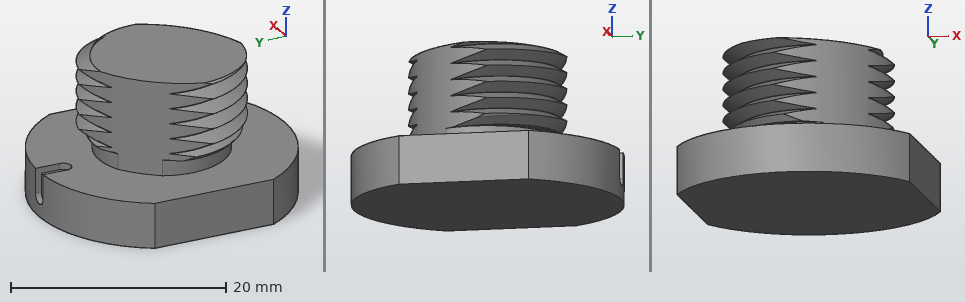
import cadquery as cq
import math

flange_diameter = 25.4
flange_across_flats = 22.23
flange_height = 4.6

total_height = 14.1
neck_diameter = 13.0
neck_height = 1.6
stud_width = 12.62
stud_side_radius = 12.7
stud_side_direction = -45

crest_diameter = 15.95
root_diameter = 13.24
pitch = 1.53
taper_end_diameter = 13.96
crest_height_at_x_axis = 13.11
root_gap = 0.02
spare_turns = 1
core_overlap = 0.015

mark_width = 1.6
mark_length = 3.3
mark_depth = 0.63

thread_bottom = flange_height + neck_height
thread_height = total_height - thread_bottom


def make_flange():
    disc = cq.Workplane("XY").circle(flange_diameter / 2).extrude(flange_height)
    flats = cq.Workplane("XY").box(
        flange_across_flats, flange_diameter, flange_height, centered=(True, True, False)
    )
    return disc.intersect(flats)


def make_thread():
    """Full thread on its core, running past both ends of the threaded length."""
    root_radius = root_diameter / 2
    half_foot = (pitch - root_gap) / 2

    turns_below = math.ceil((crest_height_at_x_axis - thread_bottom) / pitch) + spare_turns
    turns_above = math.ceil((total_height - crest_height_at_x_axis) / pitch) + spare_turns
    turns = turns_below + turns_above
    start_height = crest_height_at_x_axis - turns_below * pitch

    helix = cq.Wire.makeHelix(pitch, turns * pitch, root_radius)
    path = cq.Workplane(helix.translate(cq.Vector(0, 0, start_height)))
    ridge = (
        cq.Workplane("XZ")
        .moveTo(root_radius, start_height - half_foot)
        .lineTo(crest_diameter / 2, start_height)
        .lineTo(root_radius, start_height + half_foot)
        .close()
        .sweep(path, isFrenet=True)
    )
    core = (
        cq.Workplane("XY")
        .workplane(offset=start_height - pitch)
        .circle(root_radius + core_overlap)
        .extrude((turns + 2) * pitch)
    )
    return core.union(ridge)


def make_thread_limits():
    """Threaded length, with a 45 degree cone that tapers its lower end."""
    cone_height = thread_height / 2
    return (
        cq.Workplane("XY")
        .workplane(offset=thread_bottom)
        .circle(taper_end_diameter / 2 + cone_height)
        .extrude(thread_height)
        .faces("<Z")
        .chamfer(cone_height)
    )


def make_side_envelope():
    """Prism shared by two large cylinders, leaving the two bulged sides."""
    offset = stud_side_radius - stud_width / 2
    angle = math.radians(stud_side_direction)
    x = offset * math.cos(angle)
    y = offset * math.sin(angle)
    first = cq.Workplane("XY").center(x, y).circle(stud_side_radius).extrude(total_height)
    second = cq.Workplane("XY").center(-x, -y).circle(stud_side_radius).extrude(total_height)
    return first.intersect(second)


def make_stud():
    envelope = make_side_envelope()
    neck = cq.Workplane("XY").circle(neck_diameter / 2).extrude(thread_bottom).intersect(envelope)
    thread = make_thread().intersect(make_thread_limits().intersect(envelope))
    return neck.union(thread)


def make_mark_leg(plane, depth):
    """Slot running back from the plane's origin along its local -Y, with a round far end."""
    half_width = mark_width / 2
    straight = mark_length - half_width
    return (
        plane.moveTo(-half_width, 0)
        .lineTo(-half_width, -straight)
        .threePointArc((0, -mark_length), (half_width, -straight))
        .lineTo(half_width, 0)
        .close()
        .extrude(-depth)
    )


def make_mark():
    rim_y = flange_diameter / 2
    top_plane = cq.Workplane("XY", origin=(0, rim_y, flange_height))
    rim_plane = cq.Workplane("XZ", origin=(0, rim_y, flange_height))
    top_leg = make_mark_leg(top_plane, mark_depth)
    rim_leg = make_mark_leg(rim_plane, -mark_depth)
    return top_leg.union(rim_leg)


result = make_flange().cut(make_mark()).union(make_stud())